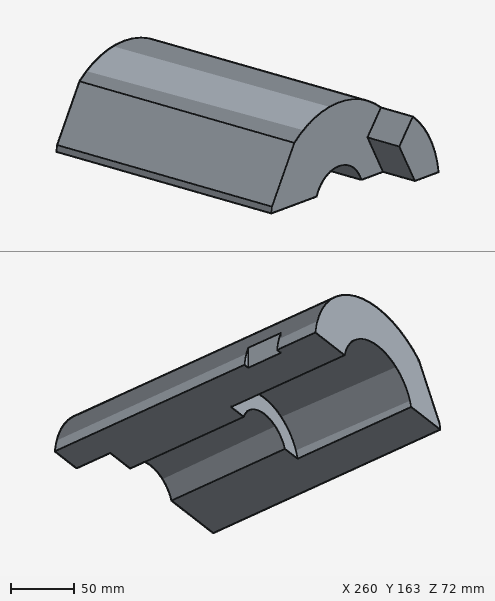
import cadquery as cq
import math

length = 260.0
half_width = 81.5
height = 72.0

outer_radius = (half_width**2 + height**2) / (2 * height)
axis_drop = outer_radius - height

large_bore_radius = 44.5
small_bore_radius = 28.5

flat_tilt = 30.0
flat_distance = 77.5

tab_length = 33.5
tab_knee_y = 34.0
tab_knee_z = 33.8
tab_inner_tilt = 29.0

notch_start = 38.2
notch_length = 32.5
notch_depth = 5.0

body_length = length - tab_length
large_bore_depth = body_length / 2


def on_outer(angle):
    """(Y, Z) point on the outer cylinder, angle in radians from +Y toward +Z."""
    return (outer_radius * math.cos(angle), outer_radius * math.sin(angle) - axis_drop)


def bore(radius, depth):
    """Cylinder on the sleeve axis, from the -X end inward."""
    return cq.Workplane("YZ", origin=(0, 0, -axis_drop)).circle(radius).extrude(depth)


base_angle = math.asin(axis_drop / outer_radius)
flat_center_angle = math.pi - math.radians(flat_tilt)
flat_half_angle = math.acos(flat_distance / outer_radius)
flat_upper_angle = flat_center_angle - flat_half_angle
flat_lower_angle = flat_center_angle + flat_half_angle
tab_top_angle = math.atan2(tab_knee_z + axis_drop, tab_knee_y)


def make_body():
    """Half sleeve with the inclined flat and the stepped bore."""
    blank = (
        cq.Workplane("YZ")
        .moveTo(half_width, 0)
        .threePointArc(on_outer((base_angle + flat_upper_angle) / 2), on_outer(flat_upper_angle))
        .lineTo(*on_outer(flat_lower_angle))
        .threePointArc(on_outer((flat_lower_angle + math.pi - base_angle) / 2), (-half_width, 0))
        .close()
        .extrude(body_length)
    )
    return blank.cut(bore(large_bore_radius, large_bore_depth)).cut(bore(small_bore_radius, body_length))


def make_tab():
    """Tab carrying the outer cylinder past the end of the body."""
    foot_y = tab_knee_y + tab_knee_z * math.tan(math.radians(tab_inner_tilt))
    return (
        cq.Workplane("YZ", origin=(body_length, 0, 0))
        .moveTo(half_width, 0)
        .threePointArc(on_outer((base_angle + tab_top_angle) / 2), on_outer(tab_top_angle))
        .lineTo(tab_knee_y, tab_knee_z)
        .lineTo(foot_y, 0)
        .close()
        .extrude(tab_length)
    )


def make_notch():
    """Block that cuts the notch through the full height of the +Y edge."""
    return (
        cq.Workplane("XY")
        .box(notch_length, notch_depth, height, centered=False)
        .translate((notch_start, half_width - notch_depth, 0))
    )


result = make_body().union(make_tab()).cut(make_notch())